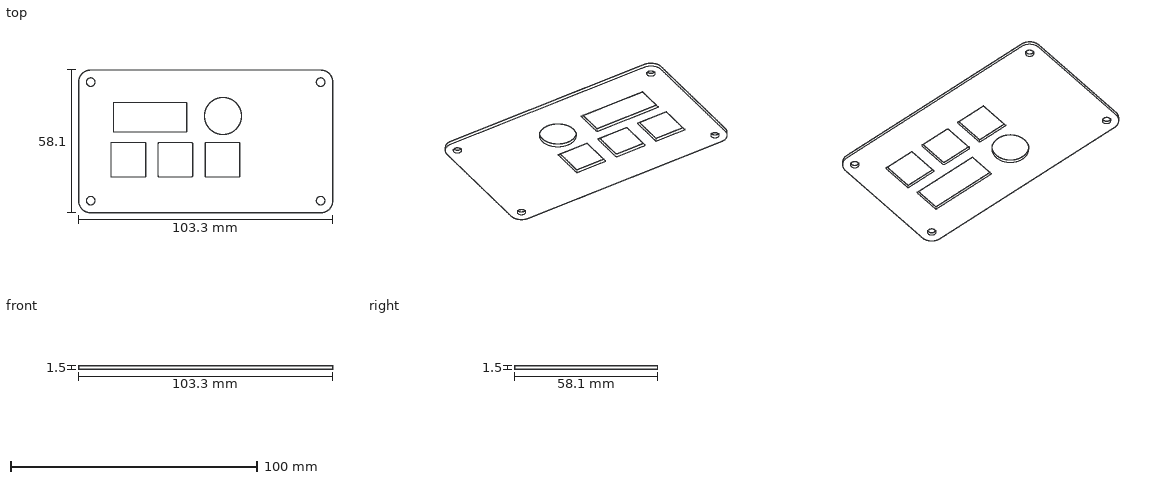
import cadquery as cq

plate_length = 103.3
plate_width = 58.1
plate_thickness = 1.5
corner_radius = 5.0

mount_hole_diameter = 3.4
mount_spacing_x = plate_length - 2 * corner_radius
mount_spacing_y = plate_width - 2 * corner_radius

display_length = 29.7
display_width = 11.9
display_center = (-22.5, 9.8)

knob_diameter = 15.0
knob_center = (7.0, 10.3)

key_size = 14.0
middle_key_length = 14.1
middle_key_corner_radius = 0.5
key_pitch = 19.1
middle_key_x = -12.3
key_row_y = -7.4


def rectangular_cutter(length, width, center):
    """Block through the full plate thickness, centred at a point of the plate."""
    return cq.Workplane("XY").center(*center).rect(length, width).extrude(plate_thickness)


plate = (
    cq.Workplane("XY")
    .rect(plate_length, plate_width)
    .extrude(plate_thickness)
    .edges("|Z")
    .fillet(corner_radius)
)

mount_holes = (
    cq.Workplane("XY")
    .rect(mount_spacing_x, mount_spacing_y, forConstruction=True)
    .vertices()
    .circle(mount_hole_diameter / 2)
    .extrude(plate_thickness)
)

knob_opening = cq.Workplane("XY").center(*knob_center).circle(knob_diameter / 2).extrude(plate_thickness)

display_window = rectangular_cutter(display_length, display_width, display_center)

middle_key = (
    rectangular_cutter(middle_key_length, key_size, (middle_key_x, key_row_y))
    .edges("|Z")
    .fillet(middle_key_corner_radius)
)

result = plate.cut(mount_holes).cut(knob_opening).cut(display_window).cut(middle_key)

for side in (-1, 1):
    key_center = (middle_key_x + side * key_pitch, key_row_y)
    result = result.cut(rectangular_cutter(key_size, key_size, key_center))